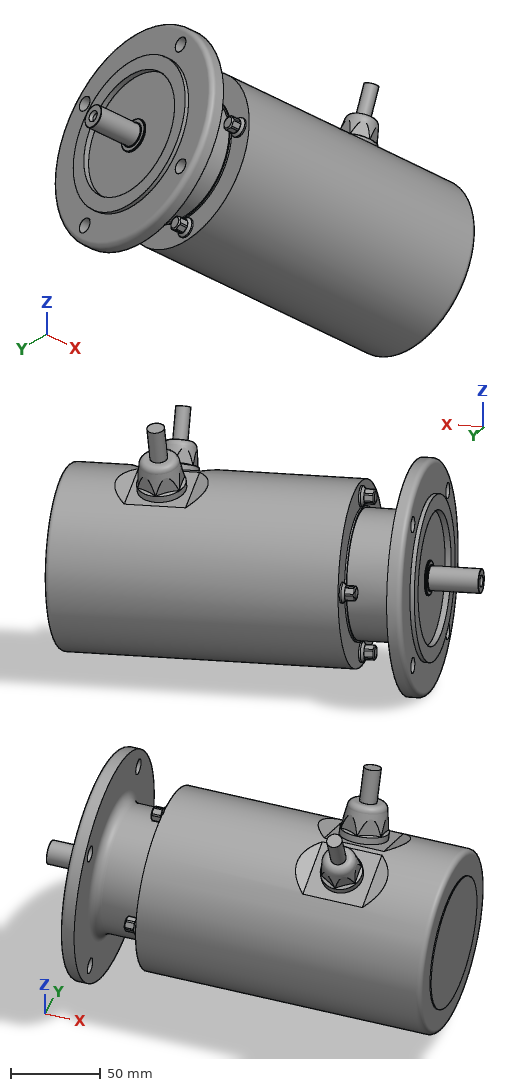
import cadquery as cq
import math

shaft_tip_x = -29.5
pilot_face_x = -2.5
recess_floor_x = 1.0
flange_back_x = 8.5
register_x = 39.0
housing_front_x = 40.0
housing_back_x = 209.8
end_cover_x = 210.5

shaft_diameter = 14.0
shaft_collar_diameter = 20.0
shaft_ring_diameter = 15.0
pilot_diameter = 95.0
recess_diameter = 77.0
flange_diameter = 135.0
neck_diameter = 75.0
register_diameter = 77.0
housing_diameter = 107.0
end_cover_diameter = 77.0

shaft_end_chamfer = 0.25
shaft_collar_height = 1.0
shaft_collar_chamfer = 0.4
shaft_ring_height = 0.5
flange_rim_fillet = 3.0
neck_fillet = 6.0
housing_back_fillet = 3.0

centre_bore_diameter = 3.43
centre_bore_depth = 14.0
centre_relief_diameter = 4.5
centre_relief_depth = 3.0
centre_mouth_diameter = 6.7
centre_mouth_half_angle = 30.0
centre_mouth_widening = (centre_mouth_diameter - centre_relief_diameter) / 2
centre_mouth_depth = centre_mouth_widening / math.tan(math.radians(centre_mouth_half_angle))

mounting_hole_diameter = 9.0
mounting_circle_diameter = 115.0
mounting_hole_count = 4
first_mounting_hole_angle = 45.0

bolt_circle_diameter = 90.0
bolt_count = 4
bolt_flange_diameter = 11.8
bolt_flange_rim = 1.0
bolt_cone_top_diameter = 8.7
bolt_cone_height = 1.6
bolt_height = 8.5
bolt_head_diameter = 8.7
bolt_across_flats = 8.0
bolt_tip_diameter = 6.6
bolt_tip_length = 0.8

gland_x = 150.5
gland_tilt = 21.0
pad_distance = 50.55
pad_length = 35.4
pad_end_slope = 18.5

gland_ledge_rise = 0.8


def revolve_about_x(sketch):
    """Turn a closed (x, radius) outline into a solid of revolution about X."""
    return sketch.close().revolve(360, (0, 0, 0), (1, 0, 0))


def cylinder_x(x_start, x_end, diameter):
    return cq.Workplane("YZ", origin=(x_start, 0, 0)).circle(diameter / 2).extrude(x_end - x_start)


def make_shaft_centre_hole():
    mouth_end_x = shaft_tip_x + centre_mouth_depth
    relief_end_x = mouth_end_x + centre_relief_depth
    outline = (
        cq.Workplane("XY")
        .moveTo(shaft_tip_x, 0)
        .lineTo(shaft_tip_x, centre_mouth_diameter / 2)
        .lineTo(mouth_end_x, centre_relief_diameter / 2)
        .lineTo(relief_end_x, centre_relief_diameter / 2)
        .lineTo(relief_end_x, centre_bore_diameter / 2)
        .lineTo(shaft_tip_x + centre_bore_depth, centre_bore_diameter / 2)
        .lineTo(shaft_tip_x + centre_bore_depth, 0)
    )
    return revolve_about_x(outline)


def make_shaft():
    shaft = cylinder_x(shaft_tip_x, recess_floor_x, shaft_diameter).faces("<X").chamfer(shaft_end_chamfer)
    return shaft.cut(make_shaft_centre_hole())


def make_shaft_collar():
    """Low chamfered collar on the recess floor, with a narrow raised ring next to the shaft."""
    collar_face_x = recess_floor_x - shaft_collar_height
    collar = (
        cylinder_x(collar_face_x, recess_floor_x, shaft_collar_diameter)
        .faces("<X").chamfer(shaft_collar_chamfer)
    )
    return collar.union(cylinder_x(collar_face_x - shaft_ring_height, collar_face_x, shaft_ring_diameter))


def make_flange():
    flange = cylinder_x(0, flange_back_x, flange_diameter).faces("<X").edges().fillet(flange_rim_fillet)
    pilot = cylinder_x(pilot_face_x, 0, pilot_diameter)
    recess = cylinder_x(pilot_face_x, recess_floor_x, recess_diameter)
    mounting_holes = (
        cq.Workplane("YZ")
        .polarArray(mounting_circle_diameter / 2, first_mounting_hole_angle, 360, mounting_hole_count)
        .circle(mounting_hole_diameter / 2)
        .extrude(flange_back_x)
    )
    return flange.union(pilot).cut(recess).cut(mounting_holes)


def make_neck():
    """Neck behind the flange, flaring into it through a concave quarter round."""
    radius = neck_diameter / 2
    outline = (
        cq.Workplane("XY")
        .moveTo(flange_back_x, 0)
        .lineTo(flange_back_x, radius + neck_fillet)
        .radiusArc((flange_back_x + neck_fillet, radius), -neck_fillet)
        .lineTo(register_x, radius)
        .lineTo(register_x, 0)
    )
    return revolve_about_x(outline)


def make_bolt():
    """Flanged hexagon bolt head on the housing front, one corner pointing away from the axis."""
    tip_x = housing_front_x - bolt_height
    rim_x = housing_front_x - bolt_flange_rim
    cone_x = rim_x - bolt_cone_height
    flange_outline = (
        cq.Workplane("XY")
        .moveTo(housing_front_x, 0)
        .lineTo(housing_front_x, bolt_flange_diameter / 2)
        .lineTo(rim_x, bolt_flange_diameter / 2)
        .lineTo(cone_x, bolt_cone_top_diameter / 2)
        .lineTo(cone_x, 0)
    )
    head_outline = (
        cq.Workplane("XY")
        .moveTo(tip_x, 0)
        .lineTo(tip_x, bolt_tip_diameter / 2)
        .lineTo(tip_x + bolt_tip_length, bolt_head_diameter / 2)
        .lineTo(cone_x, bolt_head_diameter / 2)
        .lineTo(cone_x, 0)
    )
    hexagon = (
        cq.Workplane("YZ", origin=(tip_x, 0, 0))
        .transformed(rotate=(0, 0, 90))
        .polygon(6, bolt_across_flats, circumscribed=True)
        .extrude(bolt_height)
    )
    bolt = revolve_about_x(flange_outline).union(revolve_about_x(head_outline).intersect(hexagon))
    return bolt.translate((0, bolt_circle_diameter / 2, 0))


def on_pad(body, side):
    """Move a body built at the origin along +Z onto a pad; side is +1 for +Y and -1 for -Y."""
    return (
        body.translate((gland_x, 0, pad_distance))
        .rotate((0, 0, 0), (1, 0, 0), -side * gland_tilt)
    )


def make_pad_cutter():
    """Flat-bottomed pocket with gently sloping ends, open to the outside of the housing."""
    height = housing_diameter / 2
    half_bottom = pad_length / 2
    half_top = half_bottom + height / math.tan(math.radians(pad_end_slope))
    return (
        cq.Workplane("XZ")
        .polyline([(-half_bottom, 0), (half_bottom, 0), (half_top, height), (-half_top, height)])
        .close()
        .extrude(housing_diameter / 2, both=True)
    )


def make_motor():
    housing = (
        cylinder_x(housing_front_x, housing_back_x, housing_diameter)
        .faces(">X").edges().fillet(housing_back_fillet)
    )
    for side in (1, -1):
        housing = housing.cut(on_pad(make_pad_cutter(), side))
    motor = (
        make_flange()
        .union(make_neck())
        .union(cylinder_x(register_x, housing_front_x, register_diameter))
        .union(housing)
        .union(cylinder_x(housing_back_x, end_cover_x, end_cover_diameter))
        .union(make_shaft_collar())
        .union(make_shaft())
    )
    for index in range(bolt_count):
        motor = motor.union(make_bolt().rotate((0, 0, 0), (1, 0, 0), index * 360 / bolt_count))
    return motor


def make_gland(
    side, base_diameter, base_height, across_flats, nut_top_height, dome_diameter,
    dome_rim_diameter, gland_height, cable_diameter, cable_end_height,
):
    """Cable gland with its cable; heights are measured from the pad.

    The base rises in a shallow cone from its rim to the flats of the nut.
    The nut is a cone clipped by a hexagon and ends in a dome around the cable.
    """
    corner_radius = across_flats / math.sqrt(3)
    dome_radius = dome_diameter / 2
    dome_height = gland_height - nut_top_height
    dome_width = dome_radius - dome_rim_diameter / 2
    middle_of_dome = (
        dome_radius - dome_width * (1 - math.cos(math.pi / 4)),
        nut_top_height + dome_height * math.sin(math.pi / 4),
    )
    nut_outline = (
        cq.Workplane("XZ")
        .moveTo(0, base_height)
        .lineTo(corner_radius, base_height)
        .lineTo(dome_radius, nut_top_height)
        .threePointArc(middle_of_dome, (dome_rim_diameter / 2, gland_height))
        .lineTo(0, gland_height)
        .close()
    )
    hexagon = (
        cq.Workplane("XY")
        .polygon(6, across_flats, circumscribed=True)
        .extrude(gland_height)
    )
    nut = nut_outline.revolve(360, (0, 0, 0), (0, 1, 0)).intersect(hexagon)
    base_outline = (
        cq.Workplane("XZ")
        .moveTo(0, 0)
        .lineTo(base_diameter / 2, 0)
        .lineTo(base_diameter / 2, base_height)
        .lineTo(across_flats / 2, base_height + gland_ledge_rise)
        .lineTo(0, base_height + gland_ledge_rise)
        .close()
    )
    base = base_outline.revolve(360, (0, 0, 0), (0, 1, 0))
    cable = cq.Workplane("XY").circle(cable_diameter / 2).extrude(cable_end_height)
    return on_pad(base.union(nut).union(cable), side)


motor = make_motor()
large_gland = make_gland(
    side=1, base_diameter=28.0, base_height=4.0, across_flats=24.0, nut_top_height=17.0, dome_diameter=23.0,
    dome_rim_diameter=16.0, gland_height=20.7, cable_diameter=10.0, cable_end_height=40.95,
)
small_gland = make_gland(
    side=-1, base_diameter=24.0, base_height=4.0, across_flats=20.0, nut_top_height=15.0, dome_diameter=19.5,
    dome_rim_diameter=10.0, gland_height=18.4, cable_diameter=8.7, cable_end_height=37.6,
)

result = cq.Compound.makeCompound([motor.val(), large_gland.val(), small_gland.val()])